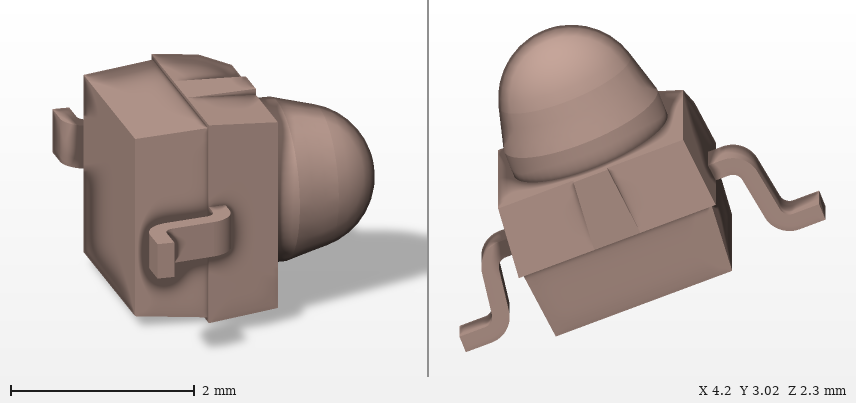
import cadquery as cq
import math


DRAFT = math.tan(math.radians(5))
HALF_DEPTH = 0.8
BACK_Y = 0.05
PARTING_Y = BACK_Y + HALF_DEPTH
SHOULDER_Y = PARTING_Y + HALF_DEPTH
BACK_WIDTH = 2.2
FRONT_WIDTH = 2.3
SHOULDER_WIDTH = FRONT_WIDTH - 2 * DRAFT * HALF_DEPTH

RIDGE_TIP_WIDTH = 0.4
RIDGE_ROOT_WIDTH = RIDGE_TIP_WIDTH + 2 * DRAFT * HALF_DEPTH

CLIP_LENGTH = 0.32
CLIP_DEPTH = 0.28
CLIP_TOOL_SIZE = 1.0

LENS_RADIUS = 0.9
LENS_RIM_Y = 1.95
DOME_RADIUS = 0.8
DOME_TIP_Y = 3.02
DOME_CENTRE_Y = DOME_TIP_Y - DOME_RADIUS

LEAD_SPAN = 4.2
LEAD_THICKNESS = 0.19
ARM_TOP_Y = PARTING_Y + LEAD_THICKNESS
BEND_INNER_RADIUS = 0.12
BEND_OUTER_RADIUS = BEND_INNER_RADIUS + LEAD_THICKNESS
FOOT_LENGTH = 0.3
SHANK_LEAN = math.radians(8.5)
CATHODE_WIDTH = 0.5
ANODE_WIDTH = 0.4


def tapered_block(parting_width, direction):
    """Square half that narrows from the parting plane toward +Y (direction 1) or -Y (-1)."""
    end_width = parting_width - 2 * DRAFT * HALF_DEPTH
    return (
        cq.Workplane("XZ", origin=(0, PARTING_Y, 0))
        .rect(parting_width, parting_width)
        .workplane(offset=-direction * HALF_DEPTH)
        .rect(end_width, end_width)
        .loft(combine=True)
    )


def ridge_bar():
    """Bar through the front half whose two ends form the ridges."""
    return (
        cq.Workplane("XY")
        .polyline([
            (-RIDGE_ROOT_WIDTH / 2, PARTING_Y),
            (RIDGE_ROOT_WIDTH / 2, PARTING_Y),
            (RIDGE_TIP_WIDTH / 2, SHOULDER_Y),
            (-RIDGE_TIP_WIDTH / 2, SHOULDER_Y),
        ])
        .close()
        .extrude(FRONT_WIDTH / 2, both=True)
    )


def corner_clip():
    """Block on the outer side of the plane that clips the -X +Z corner of the shoulder."""
    corner = cq.Vector(-SHOULDER_WIDTH / 2, SHOULDER_Y, SHOULDER_WIDTH / 2)
    on_x_edge = corner + cq.Vector(CLIP_LENGTH, 0, 0)
    on_z_edge = corner + cq.Vector(0, 0, -CLIP_LENGTH)
    drift = DRAFT * CLIP_DEPTH
    on_side_edge = corner + cq.Vector(-drift, -CLIP_DEPTH, drift)
    outward = (on_x_edge - on_side_edge).cross(on_z_edge - on_side_edge)
    clip_plane = cq.Plane(origin=on_x_edge, xDir=on_z_edge - on_x_edge, normal=outward)
    return cq.Workplane(clip_plane).rect(2 * CLIP_TOOL_SIZE, 2 * CLIP_TOOL_SIZE).extrude(CLIP_TOOL_SIZE)


def make_housing():
    """Both tapered halves with the ridges and the clipped corner."""
    front = tapered_block(FRONT_WIDTH, 1).cut(corner_clip()).union(ridge_bar())
    return tapered_block(BACK_WIDTH, -1).union(front)


def dome_point(angle):
    """Point of the dome profile at an angle above the -X direction."""
    return (-DOME_RADIUS * math.cos(angle), DOME_CENTRE_Y + DOME_RADIUS * math.sin(angle))


def make_lens():
    """Bullet lens turned about the Y axis, standing on the shoulder."""
    rim_drop = DOME_CENTRE_Y - LENS_RIM_Y
    rim_distance = math.hypot(LENS_RADIUS, rim_drop)
    tangent_angle = math.acos(DOME_RADIUS / rim_distance) - math.atan2(rim_drop, LENS_RADIUS)
    middle_angle = (tangent_angle + math.pi / 2) / 2
    return (
        cq.Workplane("XY")
        .moveTo(0, SHOULDER_Y)
        .lineTo(-LENS_RADIUS, SHOULDER_Y)
        .lineTo(-LENS_RADIUS, LENS_RIM_Y)
        .lineTo(*dome_point(tangent_angle))
        .threePointArc(dome_point(middle_angle), (0, DOME_TIP_Y))
        .close()
        .revolve(360, (0, 0, 0), (0, 1, 0))
    )


def make_lead(side, width):
    """Z-bent lead whose arm butts against the sloped housing side; side is -1 or 1 along X."""
    tip_x = side * LEAD_SPAN / 2
    root_x = side * FRONT_WIDTH / 2
    inner_root_x = side * (FRONT_WIDTH / 2 - DRAFT * LEAD_THICKNESS)

    foot_centre_x = LEAD_SPAN / 2 - FOOT_LENGTH
    foot_centre_y = BEND_OUTER_RADIUS
    arm_centre_y = ARM_TOP_Y - BEND_OUTER_RADIUS
    rise = arm_centre_y - foot_centre_y
    radius_sum = BEND_INNER_RADIUS + BEND_OUTER_RADIUS
    run = (radius_sum + rise * math.sin(SHANK_LEAN)) / math.cos(SHANK_LEAN)
    arm_centre_x = foot_centre_x - run
    turn = math.pi / 2 - SHANK_LEAN

    def foot_bend(radius, angle):
        x = foot_centre_x - radius * math.sin(angle)
        return (side * x, foot_centre_y - radius * math.cos(angle))

    def arm_bend(radius, angle):
        x = arm_centre_x + radius * math.sin(angle)
        return (side * x, arm_centre_y + radius * math.cos(angle))

    return (
        cq.Workplane("XY")
        .moveTo(tip_x, 0)
        .lineTo(*foot_bend(BEND_OUTER_RADIUS, 0))
        .threePointArc(foot_bend(BEND_OUTER_RADIUS, turn / 2), foot_bend(BEND_OUTER_RADIUS, turn))
        .lineTo(*arm_bend(BEND_INNER_RADIUS, turn))
        .threePointArc(arm_bend(BEND_INNER_RADIUS, turn / 2), arm_bend(BEND_INNER_RADIUS, 0))
        .lineTo(root_x, PARTING_Y)
        .lineTo(inner_root_x, ARM_TOP_Y)
        .lineTo(*arm_bend(BEND_OUTER_RADIUS, 0))
        .threePointArc(arm_bend(BEND_OUTER_RADIUS, turn / 2), arm_bend(BEND_OUTER_RADIUS, turn))
        .lineTo(*foot_bend(BEND_INNER_RADIUS, turn))
        .threePointArc(foot_bend(BEND_INNER_RADIUS, turn / 2), foot_bend(BEND_INNER_RADIUS, 0))
        .lineTo(tip_x, LEAD_THICKNESS)
        .close()
        .extrude(width / 2, both=True)
    )


housing = make_housing()
lens = make_lens()
leads = [make_lead(side, width) for side, width in ((-1, CATHODE_WIDTH), (1, ANODE_WIDTH))]

result = cq.Compound.makeCompound([housing.val(), lens.val(), *[lead.val() for lead in leads]])